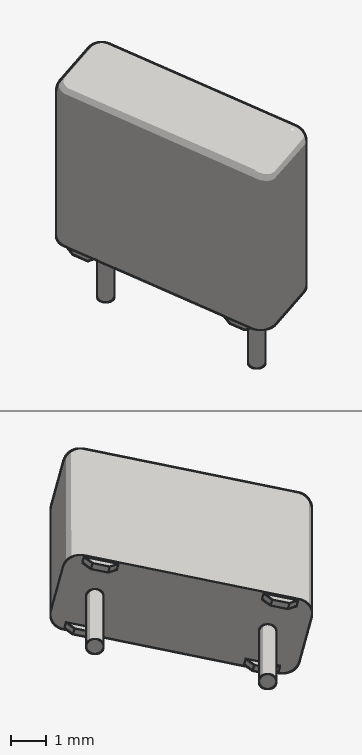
import cadquery as cq


case_length = 7.2
case_width = 2.5
case_top = 6.5
edge_radius = 0.5

foot_height = 0.25
foot_thickness = 0.2
foot_inset = 0.05
foot_base_length = 1.0
foot_tip_length = 0.5

lead_diameter = 0.5
lead_pitch = 5.0
lead_length = 2.5

case_bottom = foot_height
case_height = case_top - case_bottom
foot_center_x = case_length / 2 - edge_radius - foot_base_length / 2
foot_outer_y = case_width / 2 - foot_inset


def make_case():
    """Block with every edge rounded except those of the flat underside."""
    block = cq.Workplane("XY").workplane(offset=case_bottom)
    block = block.rect(case_length, case_width).extrude(case_height)
    return block.edges("|Z or >Z").fillet(edge_radius)


def make_foot(center_x, center_y):
    """Trapezoidal standoff that narrows towards the board."""
    half_base = foot_base_length / 2
    half_tip = foot_tip_length / 2
    outline = [
        (center_x - half_base, case_bottom),
        (center_x + half_base, case_bottom),
        (center_x + half_tip, 0),
        (center_x - half_tip, 0),
    ]
    profile = cq.Workplane("XZ", origin=(0, center_y, 0)).polyline(outline).close()
    return profile.extrude(foot_thickness / 2, both=True)


def make_lead(center_x):
    """Round wire from the underside of the case down past the board."""
    start = cq.Workplane("XY", origin=(center_x, 0, -lead_length))
    return start.circle(lead_diameter / 2).extrude(lead_length + case_bottom)


result = make_case()
foot_center_y = foot_outer_y - foot_thickness / 2
for side_x in (-1, 1):
    result = result.union(make_lead(side_x * lead_pitch / 2))
    for side_y in (-1, 1):
        result = result.union(make_foot(side_x * foot_center_x, side_y * foot_center_y))